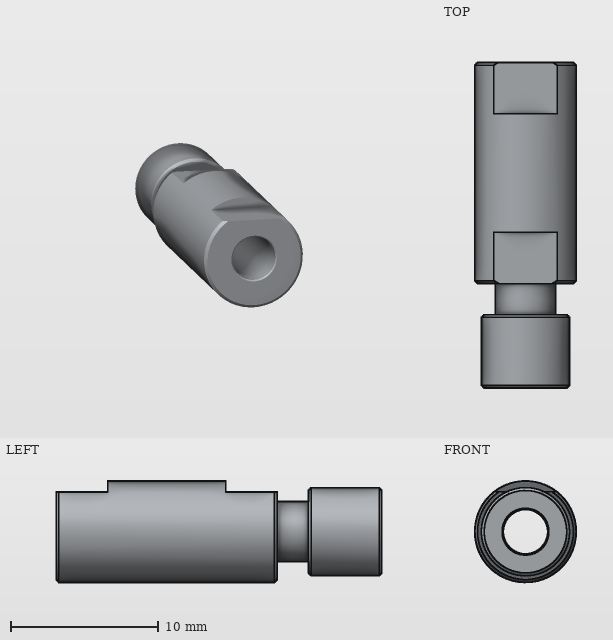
import cadquery as cq

total_length = 22.1
head_length = 5.0
neck_length = 2.1
body_length = total_length - head_length - neck_length

body_diameter = 6.9
head_diameter = 6.0
neck_diameter = 4.1
bore_diameter = 3.0

rim_chamfer = 0.2
bore_chamfer = 0.09

flat_height = 2.7
flat_length = 3.5


def cylinder(diameter, start, length):
    """Solid cylinder on the Y axis, running toward +Y from start."""
    plane = cq.Plane(origin=(0, start, 0), xDir=(1, 0, 0), normal=(0, 1, 0))
    return cq.Workplane(plane).circle(diameter / 2).extrude(length)


def flat_cutter(start):
    """Block that removes everything above the flat over one flat length."""
    height = body_diameter / 2
    return cq.Workplane("XY").box(
        body_diameter, flat_length, height, centered=(True, False, False)
    ).translate((0, start, flat_height))


head_start = -total_length / 2
neck_start = head_start + head_length
body_start = neck_start + neck_length
body_end = body_start + body_length

head = cylinder(head_diameter, head_start, head_length).edges().chamfer(rim_chamfer)
neck = cylinder(neck_diameter, neck_start, neck_length)
body = cylinder(body_diameter, body_start, body_length).edges().chamfer(rim_chamfer)

for flat_start in (body_start, body_end - flat_length):
    body = body.cut(flat_cutter(flat_start))

result = head.union(neck).union(body)
result = result.cut(cylinder(bore_diameter, head_start, total_length))
bore_mouths = result.faces("<Y or >Y").edges(
    cq.selectors.RadiusNthSelector(0)
)
result = bore_mouths.chamfer(bore_chamfer)